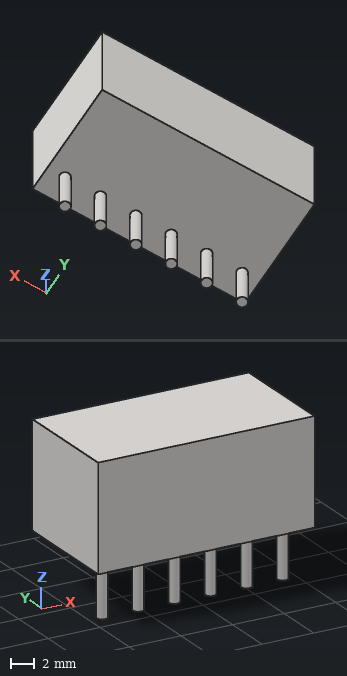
import cadquery as cq

housing_length = 21.0
housing_width = 11.2
housing_height = 10.16

overall_height = 15.27
pin_length = overall_height - housing_height
pin_diameter = 1.0
pin_count = 6
pin_pitch = housing_length / pin_count
pin_row_inset = 2.4

first_pin_x = -pin_pitch * (pin_count - 1) / 2
pin_row_y = -housing_width / 2 + pin_row_inset


def make_housing():
    """Plain rectangular block standing on Z = 0."""
    return cq.Workplane("XY").box(
        housing_length, housing_width, housing_height, centered=(True, True, False)
    )


def make_pin(x):
    """Round pin hanging from the housing's underside at the given X."""
    return (
        cq.Workplane("XY")
        .center(x, pin_row_y)
        .circle(pin_diameter / 2)
        .extrude(-pin_length)
    )


housing = make_housing()
pins = [make_pin(first_pin_x + i * pin_pitch) for i in range(pin_count)]

result = cq.Compound.makeCompound([housing.val(), *[pin.val() for pin in pins]])